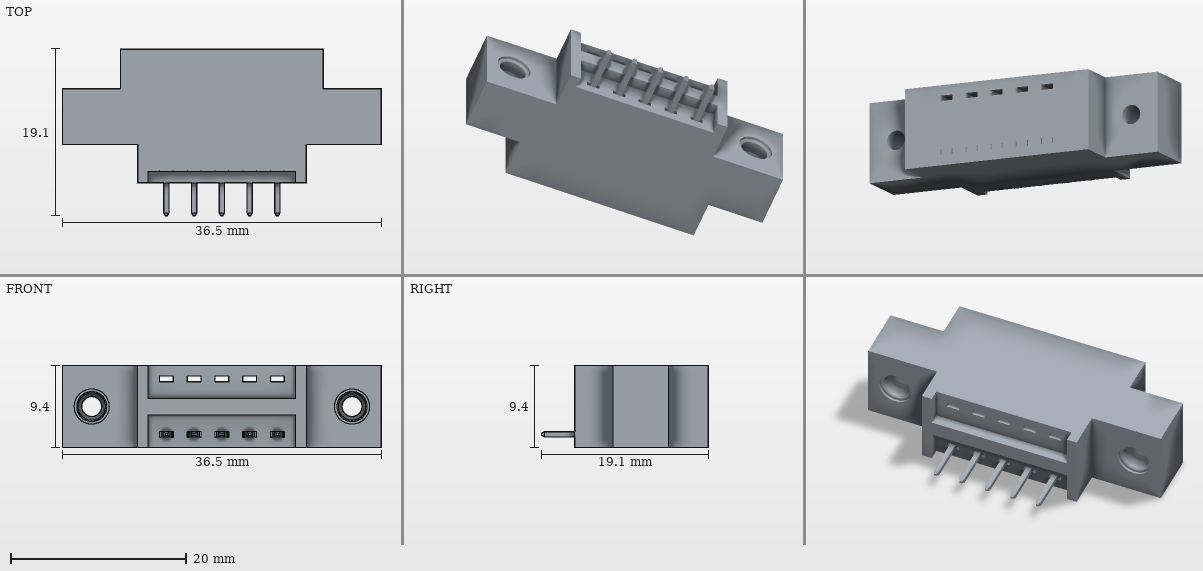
import cadquery as cq

OVERALL_LENGTH = 36.45
HEIGHT = 9.4
DEPTH = 15.27

FRONT_BLOCK_LENGTH = 19.3
REAR_BLOCK_LENGTH = 23.2
EAR_FRONT_Y = 4.37
EAR_DEPTH = 6.38
EAR_REAR_Y = EAR_FRONT_Y + EAR_DEPTH

RECESS_LENGTH = 16.85
RECESS_DEPTH = 1.3
WEB_THICKNESS = 1.9
RECESS_HEIGHT = (HEIGHT - WEB_THICKNESS) / 2

CONTACT_COUNT = 5
CONTACT_PITCH = 3.17
ROW_OFFSET = 3.17
SLOT_WIDTH = 1.53
SLOT_HEIGHT = 0.62
CONTACT_XS = [(i - (CONTACT_COUNT - 1) / 2) * CONTACT_PITCH for i in range(CONTACT_COUNT)]

PIN_WIDTH = 0.62
PIN_LENGTH = 3.8
PIN_TIP_LENGTH = 0.35
PIN_TIP_INSET = 0.2
BLADE_WIDTH = 1.28
SHOULDER_LENGTH = 0.9

INSERT_X = 14.87
INSERT_RADIUS = 2.0
INSERT_RECESS = 0.3
INSERT_LENGTH = EAR_DEPTH - INSERT_RECESS
BORE_RADIUS = 1.55
BORE_DEPTH = 1.45
MOUTH_RADIUS = 1.7
MOUTH_CHAMFER_DEPTH = MOUTH_RADIUS - BORE_RADIUS
THROUGH_RADIUS = 1.13
CONE_LENGTH = BORE_RADIUS - THROUGH_RADIUS


def box(length, front_y, rear_y, height, x=0, z=0):
    """Block centred on x and z that spans front_y to rear_y."""
    return (
        cq.Workplane("XY")
        .box(length, rear_y - front_y, height)
        .translate((x, (front_y + rear_y) / 2, z))
    )


def make_housing():
    """Stepped block with two ears, front recesses, contact slots and insert holes."""
    body = box(FRONT_BLOCK_LENGTH, 0, EAR_FRONT_Y, HEIGHT)
    body = body.union(box(OVERALL_LENGTH, EAR_FRONT_Y, EAR_REAR_Y, HEIGHT))
    body = body.union(box(REAR_BLOCK_LENGTH, EAR_REAR_Y, DEPTH, HEIGHT))

    recess_z = (WEB_THICKNESS + RECESS_HEIGHT) / 2
    for side in (-1, 1):
        body = body.cut(box(RECESS_LENGTH, 0, RECESS_DEPTH, RECESS_HEIGHT, z=side * recess_z))
        for x in CONTACT_XS:
            body = body.cut(box(SLOT_WIDTH, RECESS_DEPTH, DEPTH, SLOT_HEIGHT, x, side * ROW_OFFSET))
        body = body.cut(ear_hole(side * INSERT_X))
    return body


def ear_hole(x):
    """Cylinder through the full depth of an ear, with the insert's outside radius."""
    return cq.Workplane("XZ", origin=(x, EAR_REAR_Y, 0)).circle(INSERT_RADIUS).extrude(EAR_DEPTH)


def make_insert(x):
    """Tube with a chamfered mouth and a bore that narrows through a cone."""
    cone_end = BORE_DEPTH + CONE_LENGTH
    profile = [
        (INSERT_RADIUS, 0),
        (MOUTH_RADIUS, 0),
        (BORE_RADIUS, MOUTH_CHAMFER_DEPTH),
        (BORE_RADIUS, BORE_DEPTH),
        (THROUGH_RADIUS, cone_end),
        (THROUGH_RADIUS, INSERT_LENGTH),
        (INSERT_RADIUS, INSERT_LENGTH),
    ]
    return (
        cq.Workplane("XY")
        .polyline(profile)
        .close()
        .revolve(360, (0, 0, 0), (0, 1, 0))
        .translate((x, EAR_FRONT_Y + INSERT_RECESS, 0))
    )


def make_pin(x):
    """Square pin as tall as its slot, with a tapered tip and a wider blade behind a shoulder."""
    tip_y = -PIN_LENGTH
    shoulder_y = RECESS_DEPTH
    blade_y = shoulder_y + SHOULDER_LENGTH

    half_outline = [
        (PIN_WIDTH / 2, tip_y + PIN_TIP_LENGTH),
        (PIN_WIDTH / 2, shoulder_y),
        (BLADE_WIDTH / 2, blade_y),
        (BLADE_WIDTH / 2, DEPTH),
    ]
    outline = half_outline + [(-px, py) for px, py in reversed(half_outline)]
    shank = (
        cq.Workplane("XY")
        .polyline(outline)
        .close()
        .extrude(SLOT_HEIGHT / 2, both=True)
    )
    tip = (
        cq.Workplane("XZ", origin=(0, tip_y + PIN_TIP_LENGTH, 0))
        .rect(PIN_WIDTH, SLOT_HEIGHT)
        .workplane(offset=PIN_TIP_LENGTH)
        .rect(PIN_WIDTH - 2 * PIN_TIP_INSET, SLOT_HEIGHT - 2 * PIN_TIP_INSET)
        .loft(ruled=True)
    )
    return shank.union(tip).translate((x, 0, -ROW_OFFSET))


housing = make_housing()
inserts = [make_insert(side * INSERT_X) for side in (-1, 1)]
pins = [make_pin(x) for x in CONTACT_XS]

result = cq.Compound.makeCompound(
    [housing.val()] + [insert.val() for insert in inserts] + [pin.val() for pin in pins]
)